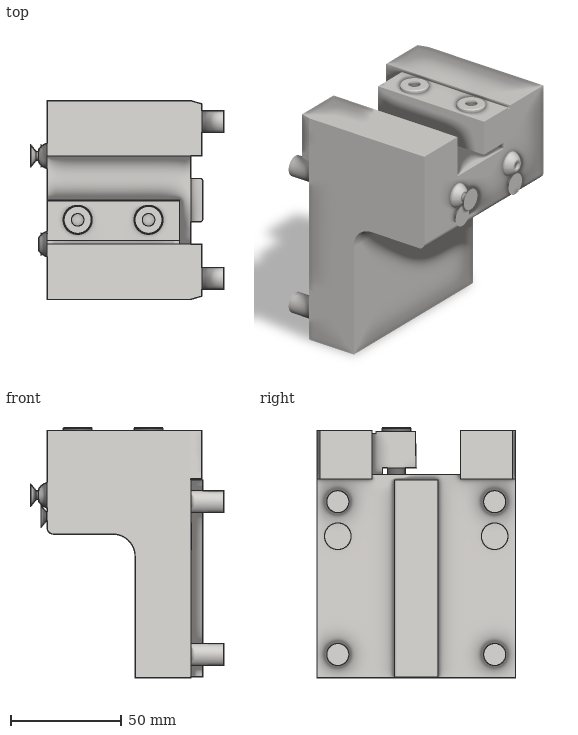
import cadquery as cq

BODY_DEPTH = 65.1
BODY_WIDTH = 90.0
BODY_HEIGHT = 112.0
LEG_FRONT_X = 39.8
OVERHANG_Z = 65.0
INNER_RADIUS = 10.0
NOSE_RADIUS = 3.0

SLOT_WIDTH = 39.9
SLOT_FLOOR_Z = 92.0

LUG_LENGTH = 5.0
LUG_BOTTOM_Z = 90.0
LUG_TAPER = 1.5

KEY_PROJECTION = 5.4
KEY_WIDTH = 19.7
KEY_BOTTOM_Z = 0.5
KEY_TOP_Z = 89.5
KEY_EDGE_RADIUS = 1.2

PIN_RADIUS = 5.0
PIN_OFFSET_Y = 35.5
PIN_LOW_Z = 10.5
PIN_HIGH_Z = 79.7
PIN_END_X = 80.0
PAD_RADIUS = 6.0
PAD_PROJECTION = 0.3
PAD_Z = 64.0

CLAMP_LENGTH = 60.0
CLAMP_TOP_Z = 111.5
CLAMP_BOTTOM_Z = 95.0
CLAMP_LEAN = 0.3
FOOT_EDGE_Y = -15.2
GROOVE_WIDTH = 1.7
GROOVE_FLOOR_Z = 110.6

CLAMP_SCREW_XS = (13.8, 45.9)
CLAMP_SCREW_Y = -9.0
CLAMP_HEAD_TOP_Z = 113.4
CLAMP_HEAD_RADIUS = 6.6
CLAMP_HEAD_CHAMFER = 0.5
CLAMP_SHANK_RADIUS = 4.1
CLAMP_SOCKET_RADIUS = 2.8
CLAMP_SOCKET_DEPTH = 1.4

FRONT_SCREW_Y = SLOT_WIDTH / 2
DOME_Z = 82.6
DOME_RADIUS = 5.8
DOME_HEIGHT = 3.9
DOME_TIP_RADIUS = 2.8
DOME_MID_HEIGHT = 2.3
DOME_MID_RADIUS = 4.6

SCREW_RADIUS = 2.0
SCREW_HEAD_RADIUS = 5.1
SCREW_HEAD_LENGTH = 2.5
LOW_SCREW_Z = 73.0
LOW_SCREW_PROJECTION = 2.8
HIGH_SCREW_PROJECTION = 7.5


def box(x_min, x_max, y_min, y_max, z_min, z_max):
    size = (x_max - x_min, y_max - y_min, z_max - z_min)
    return cq.Workplane("XY").box(*size, centered=False).translate((x_min, y_min, z_min))


def cylinder_x(radius, x_min, x_max, y, z):
    return cq.Workplane("YZ", origin=(x_min, 0, 0)).center(y, z).circle(radius).extrude(x_max - x_min)


def make_body():
    profile = [
        (0, OVERHANG_Z),
        (LEG_FRONT_X, OVERHANG_Z),
        (LEG_FRONT_X, 0),
        (BODY_DEPTH, 0),
        (BODY_DEPTH, BODY_HEIGHT),
        (0, BODY_HEIGHT),
    ]
    body = cq.Workplane("XZ").polyline(profile).close().extrude(BODY_WIDTH / 2, both=True)
    body = body.edges(cq.selectors.NearestToPointSelector((LEG_FRONT_X, 0, OVERHANG_Z))).fillet(INNER_RADIUS)
    return body.edges(cq.selectors.NearestToPointSelector((0, 0, OVERHANG_Z))).fillet(NOSE_RADIUS)


def make_lugs():
    half_width = BODY_WIDTH / 2
    lug_end = BODY_DEPTH + LUG_LENGTH
    outline = [
        (BODY_DEPTH, -half_width),
        (lug_end, -half_width + LUG_TAPER),
        (lug_end, half_width - LUG_TAPER),
        (BODY_DEPTH, half_width),
    ]
    base = cq.Workplane("XY", origin=(0, 0, LUG_BOTTOM_Z))
    bar = base.polyline(outline).close().extrude(BODY_HEIGHT - LUG_BOTTOM_Z)
    middle = box(BODY_DEPTH, lug_end, -SLOT_WIDTH / 2, SLOT_WIDTH / 2, LUG_BOTTOM_Z, BODY_HEIGHT)
    return bar.cut(middle)


def make_key():
    key_end = BODY_DEPTH + KEY_PROJECTION
    key = box(BODY_DEPTH, key_end, -KEY_WIDTH / 2, KEY_WIDTH / 2, KEY_BOTTOM_Z, KEY_TOP_Z)
    return key.edges("|Z and >X").fillet(KEY_EDGE_RADIUS)


def make_clamp():
    """Clamp bar with its foot on the slot floor; its free side leans outward towards the bottom."""
    wall_y = -SLOT_WIDTH / 2
    groove_y = wall_y + GROOVE_WIDTH
    section = [
        (wall_y, SLOT_FLOOR_Z),
        (FOOT_EDGE_Y, SLOT_FLOOR_Z),
        (FOOT_EDGE_Y, CLAMP_BOTTOM_Z),
        (0, CLAMP_BOTTOM_Z),
        (-CLAMP_LEAN, CLAMP_TOP_Z),
        (groove_y, CLAMP_TOP_Z),
        (groove_y, GROOVE_FLOOR_Z),
        (wall_y, GROOVE_FLOOR_Z),
    ]
    return cq.Workplane("YZ").polyline(section).close().extrude(CLAMP_LENGTH)


def make_clamp_screw(x):
    base = cq.Workplane("XY", origin=(x, CLAMP_SCREW_Y, SLOT_FLOOR_Z))
    shank = base.circle(CLAMP_SHANK_RADIUS).extrude(CLAMP_TOP_Z - SLOT_FLOOR_Z)
    head = cq.Workplane("XY", origin=(x, CLAMP_SCREW_Y, CLAMP_TOP_Z))
    head = head.circle(CLAMP_HEAD_RADIUS).extrude(CLAMP_HEAD_TOP_Z - CLAMP_TOP_Z)
    head = head.faces(">Z").chamfer(CLAMP_HEAD_CHAMFER)
    head = head.faces(">Z").workplane().circle(CLAMP_SOCKET_RADIUS).cutBlind(-CLAMP_SOCKET_DEPTH)
    return shank.union(head)


def revolve_x(profile, y, z):
    """Turn a closed (x, radius) profile about the line along X through (y, z)."""
    return profile.close().revolve(360, (0, 0), (1, 0)).translate((0, y, z))


def make_dome(y):
    """Domed head with a round socket reaching down to the front face."""
    profile = (
        cq.Workplane("XY")
        .moveTo(0, 0)
        .lineTo(0, DOME_RADIUS)
        .threePointArc((-DOME_MID_HEIGHT, DOME_MID_RADIUS), (-DOME_HEIGHT, DOME_TIP_RADIUS))
        .lineTo(-DOME_HEIGHT, 0)
    )
    socket = cylinder_x(SCREW_RADIUS, -DOME_HEIGHT, 0, y, DOME_Z)
    return revolve_x(profile, y, DOME_Z).cut(socket)


def make_countersunk_screw(projection, y, z):
    neck_x = SCREW_HEAD_LENGTH - projection
    profile = cq.Workplane("XY").polyline(
        [
            (-projection, 0),
            (-projection, SCREW_HEAD_RADIUS),
            (neck_x, SCREW_RADIUS),
            (0, SCREW_RADIUS),
            (0, 0),
        ]
    )
    return revolve_x(profile, y, z)


result = make_body()
result = result.cut(box(0, BODY_DEPTH, -SLOT_WIDTH / 2, SLOT_WIDTH / 2, SLOT_FLOOR_Z, BODY_HEIGHT))
result = result.union(make_lugs()).union(make_key()).union(make_clamp())

for screw_x in CLAMP_SCREW_XS:
    result = result.union(make_clamp_screw(screw_x))

for side in (-1, 1):
    pin_y = side * PIN_OFFSET_Y
    for pin_z in (PIN_LOW_Z, PIN_HIGH_Z):
        result = result.union(cylinder_x(PIN_RADIUS, BODY_DEPTH, PIN_END_X, pin_y, pin_z))
    result = result.union(cylinder_x(PAD_RADIUS, BODY_DEPTH, BODY_DEPTH + PAD_PROJECTION, pin_y, PAD_Z))

    screw_y = side * FRONT_SCREW_Y
    result = result.union(make_dome(screw_y))
    result = result.union(make_countersunk_screw(LOW_SCREW_PROJECTION, screw_y, LOW_SCREW_Z))

result = result.union(make_countersunk_screw(HIGH_SCREW_PROJECTION, FRONT_SCREW_Y, DOME_Z))